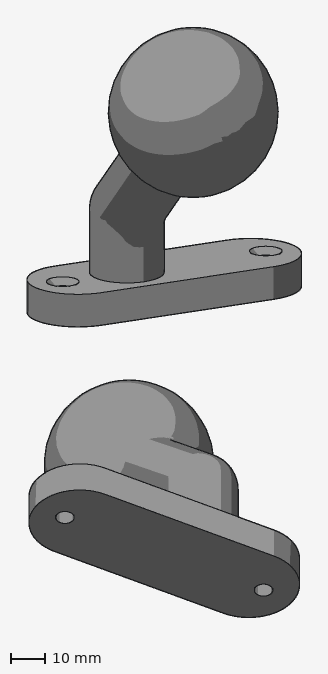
import cadquery as cq
import math

overall_width = 82.8
overall_height = 95.8

plate_width = 30.0
plate_length = 87.0
plate_thickness = 10.1
screw_spacing = 67.1
screw_hole_diameter = 5.5
countersink_diameter = 9.6
countersink_angle = 90.0

stem_diameter = 22.0
stem_y = -12.4
post_height = 19.5
elbow_inner_radius = 10.0
ball_diameter = 50.0
neck_fillet_radius = 2.0

stem_radius = stem_diameter / 2
ball_radius = ball_diameter / 2
elbow_center = cq.Vector(0, stem_y, plate_thickness + post_height)
ball_center = cq.Vector(
    overall_width - plate_width / 2 - ball_radius,
    stem_y,
    overall_height - ball_radius,
)
arm_axis = ball_center - elbow_center
arm_direction = arm_axis.normalized()


def cylinder(radius, height, base, direction):
    return cq.Workplane(cq.Solid.makeCylinder(radius, height, base, direction))


def sphere(radius, center):
    return cq.Workplane("XY").sphere(radius).translate(center)


def box_around(center, half_size):
    """Selector for the edges whose centres lie in a cube around a point."""
    reach = cq.Vector(half_size, half_size, half_size)
    return cq.selectors.BoxSelector((center - reach).toTuple(), (center + reach).toTuple())


def make_plate():
    half_spacing = screw_spacing / 2
    return (
        cq.Workplane("XY")
        .slot2D(plate_length, plate_width, 90)
        .extrude(plate_thickness)
        .faces(">Z")
        .workplane()
        .pushPoints([(0, half_spacing), (0, -half_spacing)])
        .cskHole(screw_hole_diameter, countersink_diameter, countersink_angle)
    )


def make_bent_stem():
    """Post and arm, with a rounded outer elbow and a filleted inner elbow."""
    post_base = cq.Vector(0, stem_y, plate_thickness)
    post = cylinder(stem_radius, post_height, post_base, cq.Vector(0, 0, 1))
    arm = cylinder(stem_radius, arm_axis.Length, elbow_center, arm_direction)
    stem = post.union(arm).union(sphere(stem_radius, elbow_center))
    return stem.edges("%ELLIPSE").fillet(elbow_inner_radius)


def make_ball_stem():
    """Bent stem with its ball, blended at the neck."""
    ball_stem = make_bent_stem().union(sphere(ball_radius, ball_center))
    neck_distance = math.sqrt(ball_radius**2 - stem_radius**2)
    neck_center = ball_center - arm_direction * neck_distance
    neck_edge = ball_stem.edges("%CIRCLE").edges(box_around(neck_center, stem_radius))
    return neck_edge.fillet(neck_fillet_radius)


plate = make_plate()
ball_stem = make_ball_stem()

result = cq.Compound.makeCompound([plate.solids().val(), ball_stem.solids().val()])